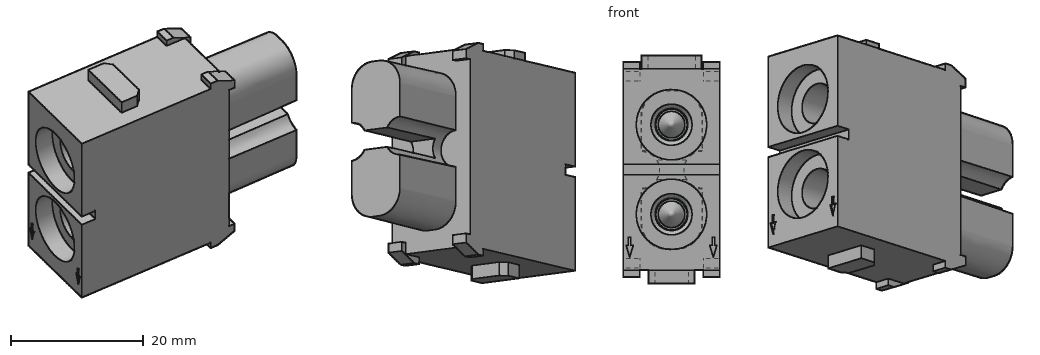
import cadquery as cq
import math

total_length = 40.6
total_height = 34.4

body_width = 14.6
body_length = 26.6
body_height = 30.3

groove_height = 1.6
groove_depth = 2.45

tab_front = 9.0
tab_length = 3.8
tab_chamfer = 1.0
top_tab_width = 9.1
bottom_tab_width = 7.0

hook_width = 2.55
hook_front = 23.25
hook_flat_length = 1.25
hook_overhang = 1.0
hook_top = 16.2
hook_tip_top = 14.8
hook_tip_bottom = 13.4

sleeve_width = 9.3
sleeve_height = 24.0
sleeve_corner_radius = 3.98
sleeve_waist_radius = 2.8
sleeve_draft_angle = 0.5
sleeve_slot_height = 2.95
sleeve_web_length = 2.05

chamber_spacing = 13.5
counterbore_diameter = 10.6
counterbore_depth = 3.0
bore_diameter = 6.2
bore_straight_length = 12.0
bore_funnel_length = 0.65
bore_throat_diameter = 4.9
bore_socket_diameter = 4.7
bore_throat_length = 1.0
bore_depth = 15.0
pin_diameter = 4.0
pin_tip_length = 3.0
pin_length = 8.0

arrow_offset = 6.3
arrow_top = -10.2
arrow_neck = -11.4
arrow_tip = -13.2
arrow_head_width = 1.1
arrow_shaft_width = 0.35
arrow_depth = 0.2


def make_body():
    body = cq.Workplane("XY").box(body_width, body_length, body_height, centered=(True, False, True))
    groove = cq.Workplane("XY").box(body_width, groove_depth, groove_height, centered=(True, False, True))
    return body.cut(groove)


def make_tab(width, side):
    """Coding tab with chamfered rear corners; side is +1 for the top face and -1 for the bottom."""
    tab_height = (total_height - body_height) / 2
    return (
        cq.Workplane("XY", origin=(0, 0, side * body_height / 2))
        .center(0, tab_front + tab_length / 2)
        .rect(width, tab_length)
        .extrude(side * tab_height)
        .edges("|Z and >Y")
        .chamfer(tab_chamfer)
    )


def make_hook():
    """Latch hook at the upper corner on the -X side."""
    tip = body_length + hook_overhang
    return (
        cq.Workplane("YZ", origin=(-body_width / 2, 0, 0))
        .moveTo(hook_front, hook_tip_bottom)
        .lineTo(hook_front, hook_top)
        .lineTo(hook_front + hook_flat_length, hook_top)
        .lineTo(tip, hook_tip_top)
        .lineTo(tip, hook_tip_bottom)
        .close()
        .extrude(hook_width)
    )


def make_sleeve():
    """Drafted block behind the body, with rounded corners and a round waist in each side."""
    sleeve_length = total_length - body_length
    half_width = sleeve_width / 2
    half_height = sleeve_height / 2
    corner_x = half_width - sleeve_corner_radius
    corner_z = half_height - sleeve_corner_radius
    arc_x = corner_x + sleeve_corner_radius * math.cos(math.pi / 4)
    arc_z = corner_z + sleeve_corner_radius * math.sin(math.pi / 4)
    waist_x = half_width - sleeve_waist_radius
    section = cq.Workplane("XZ", origin=(0, body_length, 0)).transformed(rotate=(0, 180, 0))
    sleeve = (
        section
        .moveTo(-corner_x, half_height)
        .lineTo(corner_x, half_height)
        .threePointArc((arc_x, arc_z), (half_width, corner_z))
        .lineTo(half_width, sleeve_waist_radius)
        .threePointArc((waist_x, 0), (half_width, -sleeve_waist_radius))
        .lineTo(half_width, -corner_z)
        .threePointArc((arc_x, -arc_z), (corner_x, -half_height))
        .lineTo(-corner_x, -half_height)
        .threePointArc((-arc_x, -arc_z), (-half_width, -corner_z))
        .lineTo(-half_width, -sleeve_waist_radius)
        .threePointArc((-waist_x, 0), (-half_width, sleeve_waist_radius))
        .lineTo(-half_width, corner_z)
        .threePointArc((-arc_x, arc_z), (-corner_x, half_height))
        .close()
        .extrude(sleeve_length, taper=sleeve_draft_angle)
    )
    slot = cq.Workplane("XY", origin=(0, body_length + sleeve_web_length, 0)).box(
        sleeve_width, sleeve_length, sleeve_slot_height, centered=(True, False, True)
    )
    return sleeve.cut(slot)


def make_chamber():
    """Counterbore and stepped bore around a pointed pin, as one revolved void on the Y axis."""
    funnel_start = counterbore_depth + bore_straight_length
    throat_start = funnel_start + bore_funnel_length
    socket_start = throat_start + bore_throat_length
    bore_floor = counterbore_depth + bore_depth
    pin_tip = bore_floor - pin_length
    return (
        cq.Workplane("XY")
        .moveTo(0, 0)
        .lineTo(counterbore_diameter / 2, 0)
        .lineTo(counterbore_diameter / 2, counterbore_depth)
        .lineTo(bore_diameter / 2, counterbore_depth)
        .lineTo(bore_diameter / 2, funnel_start)
        .lineTo(bore_throat_diameter / 2, throat_start)
        .lineTo(bore_throat_diameter / 2, socket_start)
        .lineTo(bore_socket_diameter / 2, socket_start)
        .lineTo(bore_socket_diameter / 2, bore_floor)
        .lineTo(pin_diameter / 2, bore_floor)
        .lineTo(pin_diameter / 2, pin_tip + pin_tip_length)
        .lineTo(0, pin_tip)
        .close()
        .revolve(360, (0, 0), (0, 1))
    )


def make_arrow():
    """Downward arrow, cut into the mating face on the X = 0 line."""
    head = arrow_head_width / 2
    shaft = arrow_shaft_width / 2
    return (
        cq.Workplane("XZ")
        .moveTo(-shaft, arrow_top)
        .lineTo(shaft, arrow_top)
        .lineTo(shaft, arrow_neck)
        .lineTo(head, arrow_neck)
        .lineTo(0, arrow_tip)
        .lineTo(-head, arrow_neck)
        .lineTo(-shaft, arrow_neck)
        .close()
        .extrude(-arrow_depth)
    )


result = make_body().union(make_sleeve())
result = result.union(make_tab(top_tab_width, 1))
result = result.union(make_tab(bottom_tab_width, -1))

upper_left_hook = make_hook()
upper_right_hook = upper_left_hook.mirror("YZ")
for hook in (upper_left_hook, upper_right_hook):
    result = result.union(hook)
    result = result.union(hook.mirror("XY"))

for side in (-1, 1):
    result = result.cut(make_chamber().translate((0, 0, side * chamber_spacing / 2)))
    result = result.cut(make_arrow().translate((side * arrow_offset, 0, 0)))